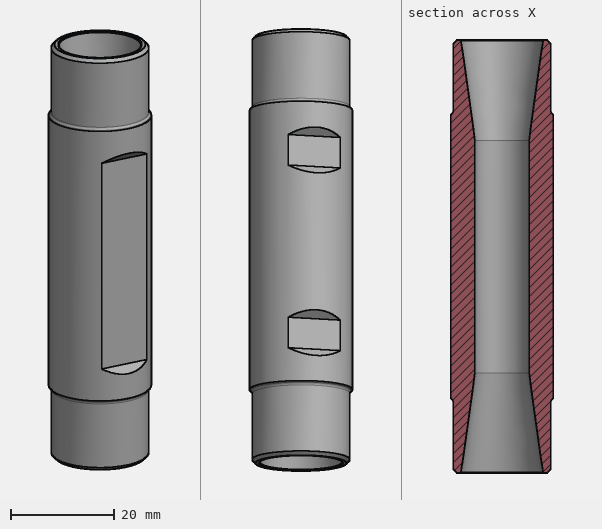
import cadquery as cq
import math

length = 84.0
body_diameter = 20.0
spigot_diameter = 19.0
bore_diameter = 10.5

spigot_length = 13.75
end_chamfer = 0.7
shoulder_fillet = 0.6
shoulder_chamfer = 0.2

mouth_diameter = 16.3
mouth_chamfer = 0.2
taper_half_angle = 8.0

flat_distance = 8.5
notch_floor_length = 6.0
notch_spacing = 36.0

body_radius = body_diameter / 2
spigot_radius = spigot_diameter / 2
bore_radius = bore_diameter / 2
mouth_radius = mouth_diameter / 2
middle = length / 2


def fillet_point(angle):
    """Radius and height on the shoulder fillet, at an angle in degrees from where it leaves the spigot."""
    turn = math.radians(angle)
    radius = spigot_radius + shoulder_fillet * (1 - math.cos(turn))
    height = spigot_length + shoulder_fillet * math.sin(turn)
    return radius, height


def make_outer_waste():
    """Ring to remove around the lower end: spigot, its end chamfer and the shoulder."""
    chamfer_radius = body_radius - shoulder_chamfer
    fillet_angle = math.degrees(math.acos(1 - (chamfer_radius - spigot_radius) / shoulder_fillet))
    fillet_end = fillet_point(fillet_angle)
    profile = (
        cq.Workplane("XZ")
        .moveTo(spigot_radius - end_chamfer, 0)
        .lineTo(spigot_radius, end_chamfer)
        .lineTo(spigot_radius, spigot_length)
        .threePointArc(fillet_point(fillet_angle / 2), fillet_end)
        .lineTo(body_radius, fillet_end[1] + shoulder_chamfer)
        .lineTo(body_radius, 0)
        .close()
    )
    return profile.revolve(360, (0, 0, 0), (0, 1, 0))


def make_mouth():
    """Chamfer and long taper that open the bore at the lower end."""
    taper_radius = mouth_radius - mouth_chamfer
    taper_length = (taper_radius - bore_radius) / math.tan(math.radians(taper_half_angle))
    profile = (
        cq.Workplane("XZ")
        .moveTo(0, 0)
        .lineTo(mouth_radius, 0)
        .lineTo(taper_radius, mouth_chamfer)
        .lineTo(bore_radius, mouth_chamfer + taper_length)
        .lineTo(0, mouth_chamfer + taper_length)
        .close()
    )
    return profile.revolve(360, (0, 0, 0), (0, 1, 0))


def make_tube():
    """Bored cylinder with both ends shaped alike."""
    tube = cq.Workplane("XY").circle(body_radius).circle(bore_radius).extrude(length)
    for waste in (make_outer_waste(), make_mouth()):
        tube = tube.cut(waste)
        tube = tube.cut(waste.mirror("XY", (0, 0, middle)))
    return tube


def make_flat_cutter(side, center_z, floor_length):
    """Prism that cuts a flat with 45 degree ends on the -X (side = -1) or +X (side = 1) face."""
    cut_depth = body_radius - flat_distance
    half_floor = floor_length / 2
    half_opening = half_floor + cut_depth
    return (
        cq.Workplane("XZ")
        .polyline([
            (side * flat_distance, center_z - half_floor),
            (side * body_radius, center_z - half_opening),
            (side * body_radius, center_z + half_opening),
            (side * flat_distance, center_z + half_floor),
        ])
        .close()
        .extrude(body_radius, both=True)
    )


result = make_tube()

for direction in (-1, 1):
    notch_z = middle + direction * notch_spacing / 2
    result = result.cut(make_flat_cutter(-1, notch_z, notch_floor_length))

result = result.cut(make_flat_cutter(1, middle, notch_spacing + notch_floor_length))